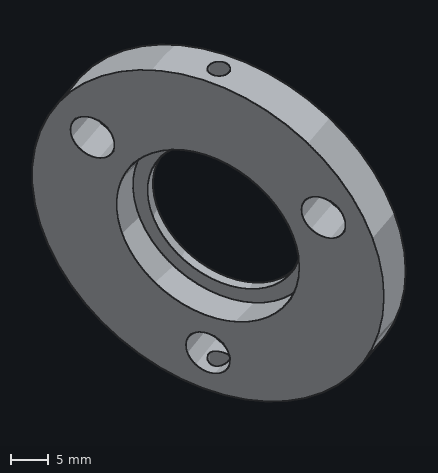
import cadquery as cq

disc_diameter = 52.8
thickness = 6.0

bore_diameter = 23.0
counterbore_diameter = 27.4
lip_thickness = 1.5
counterbore_depth = thickness - lip_thickness

bolt_hole_diameter = 6.6
bolt_circle_radius = 20.0
bolt_hole_count = 3
first_bolt_angle = -90.0

radial_hole_diameter = 3.0


def cylinder_along_y(diameter, depth):
    """Cylinder on the Y axis running from the front face to the given depth."""
    return cq.Workplane("XZ").circle(diameter / 2).extrude(-depth)


def cylinder_along_z(diameter, bottom, top):
    """Vertical cylinder at mid thickness between two heights."""
    base = cq.Workplane("XY", origin=(0, thickness / 2, bottom))
    return base.circle(diameter / 2).extrude(top - bottom)


def bolt_holes():
    """Through holes spaced evenly on the bolt circle."""
    pattern = cq.Workplane("XZ").polarArray(bolt_circle_radius, first_bolt_angle, 360, bolt_hole_count)
    return pattern.circle(bolt_hole_diameter / 2).extrude(-thickness)


disc_radius = disc_diameter / 2

result = cylinder_along_y(disc_diameter, thickness)
result = result.cut(cylinder_along_y(bore_diameter, thickness))
result = result.cut(cylinder_along_y(counterbore_diameter, counterbore_depth))
result = result.cut(bolt_holes())

result = result.cut(cylinder_along_z(radial_hole_diameter, 0, disc_radius))

result = result.cut(cylinder_along_z(radial_hole_diameter, -disc_radius, -bolt_circle_radius))